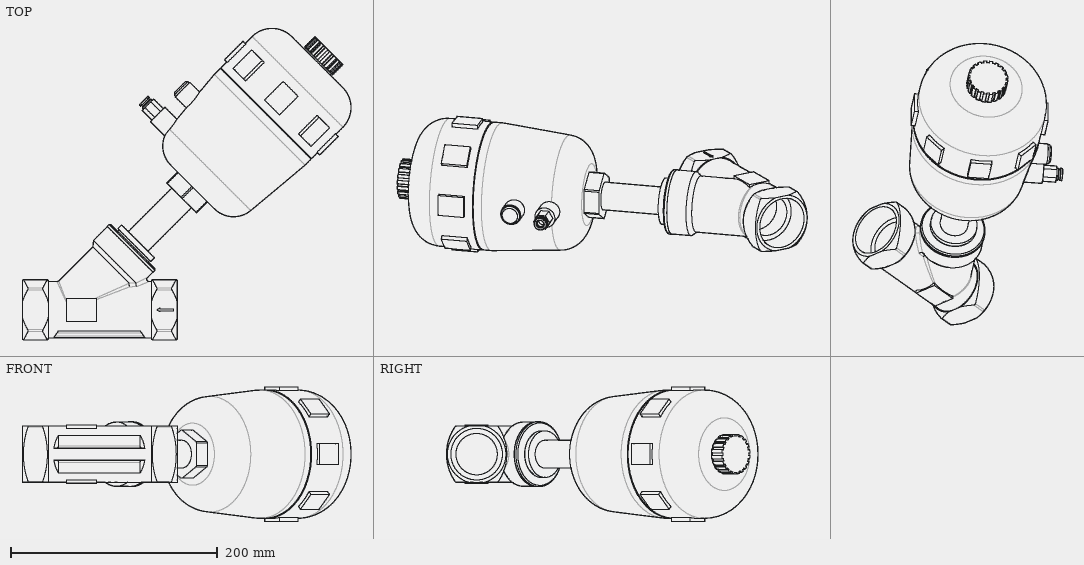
import cadquery as cq
import math


body_length = 150.0
pipe_diameter = 54.7
end_length = 25.0
end_half_width = 29.3
end_flat_half_width = 20.5
end_corner_round = 2.2
end_face_radius = 28.3
socket_diameter = 50.0
socket_depth = 24.2
port_diameter = 40.0
port_depth = 19.0

label_length = 29.3
label_width = 22.3
label_start = 42.5
label_height = 1.0

arrow_tip = 130.0
arrow_length = 16.0
arrow_shaft_width = 2.0
arrow_head_width = 3.8
arrow_head_length = 3.2
arrow_depth = 0.3

pocket_floor = 20.5
pocket_floor_length = 79.0
pocket_mouth_length = 88.8
pocket_middle = 74.5
pocket_edge_round = 1.3
rib_half_width = 6.0
rib_round = 2.0

branch_angle = 45.0
branch_x = 45.8
branch_blend = 2.2
collar_diameter = 62.5
collar_cone_start = 59.0
collar_start = 63.5
collar_top = 82.7

cover_diameter = 63.0
cover_top = 86.5
cover_bevel = 1.3
neck_diameter = 42.0
flange_start = 88.5
flange_diameter = 45.2
flange_top = 93.5
tube_diameter = 27.0
nut_start = 153.0
nut_across_flats = 41.0
nut_edge_bevel = 1.0

actuator_base = 168.0
base_flat_diameter = 60.0
base_round = 26.0
actuator_diameter = 124.5
cone_top = 260.0
seam_height = 268.2
seam_width = 0.5
seam_depth = 0.5
dome_start = 311.8
dome_round = 27.0

rib_pad_count = 8
rib_pad_start = 276.8
rib_pad_length = 25.5
rib_pad_width = 20.5
rib_pad_reach = 65.2

knob_neck_diameter = 35.0
knob_neck_length = 1.5
knob_diameter = 38.5
knob_length = 14.3
knob_groove_count = 20
knob_groove_width = 2.5
knob_groove_depth = 1.5

boss_diameter = 20.0
boss_end = 73.5
fitting_boss_height = 193.8
plug_boss_height = 227.8
plug_diameter = 18.5
plug_length = 3.5
plug_bevel = 1.5

fitting_hex_corners = 16.0
fitting_hex_length = 13.5
fitting_neck_diameter = 9.2
fitting_neck_length = 3.8
fitting_collar_diameter = 12.0
fitting_collar_length = 2.2
fitting_collar_bevel = 0.8
release_ring_length = 2.0
fitting_mouth_diameter = 8.0
fitting_mouth_depth = 2.0
fitting_bore_diameter = 6.0
fitting_bore_depth = 8.0

pipe_radius = pipe_diameter / 2
actuator_radius = actuator_diameter / 2
dome_top = dome_start + dome_round
tilt = math.radians(branch_angle)
inclined_plane = cq.Plane(
    origin=(branch_x, 0, 0),
    xDir=(-math.sin(tilt), math.cos(tilt), 0),
    normal=(math.cos(tilt), math.sin(tilt), 0),
)


def rod(diameter, start, end):
    """Upright cylinder on the Z axis."""
    return cq.Workplane("XY").workplane(offset=start).circle(diameter / 2).extrude(end - start)


def pipe_rod(diameter, start, end):
    """Cylinder on the pipe axis, along X."""
    return cq.Workplane("YZ").workplane(offset=start).circle(diameter / 2).extrude(end - start)


def tilted(upright):
    """Move an upright shape onto the inclined axis."""
    return cq.Workplane(upright.val().moved(cq.Location(inclined_plane)))


def wrench_end(start):
    """Pipe end with two flats, two rounded sides and bevelled corners."""
    end = start + end_length
    block = (
        cq.Workplane("YZ").workplane(offset=start)
        .moveTo(-end_flat_half_width, pipe_radius)
        .lineTo(end_flat_half_width, pipe_radius)
        .threePointArc((end_half_width, 0), (end_flat_half_width, -pipe_radius))
        .lineTo(-end_flat_half_width, -pipe_radius)
        .threePointArc((-end_half_width, 0), (-end_flat_half_width, pipe_radius))
        .close().extrude(end_length)
        .edges("|X").fillet(end_corner_round)
    )
    bevel_peak = end_length / 2
    bevel_envelope = (
        cq.Workplane("XY")
        .polyline([
            (start, 0),
            (start, end_face_radius),
            (start + bevel_peak, end_face_radius + bevel_peak),
            (end, end_face_radius),
            (end, 0),
        ])
        .close().revolve(360, (0, 0, 0), (1, 0, 0))
    )
    return block.intersect(bevel_envelope)


def branch_tube():
    return tilted(rod(pipe_diameter, 0, collar_start))


def collar():
    """Thickened rim of the branch, with a cone below it."""
    rim_radius = collar_diameter / 2
    return tilted(
        cq.Workplane("XZ")
        .polyline([
            (0, collar_cone_start),
            (pipe_radius, collar_cone_start),
            (rim_radius, collar_start),
            (rim_radius, collar_top),
            (0, collar_top),
        ])
        .close().revolve(360, (0, 0, 0), (0, 1, 0))
    )


def blended_casting():
    """Pipe, branch and collar, with a rounding along the curved seam between them."""
    joined = pipe_rod(pipe_diameter, 0, body_length).union(branch_tube()).union(collar())
    seam = joined.edges("not(%LINE or %CIRCLE)").vals()
    return cq.Workplane(joined.val().fillet(branch_blend, seam))


def label_pads():
    """Flat pads on the top and bottom of the pipe."""
    return cq.Workplane("XY").box(
        label_length, label_width, pipe_diameter + 2 * label_height
    ).translate((label_start + label_length / 2, 0, 0))


def pocket(side):
    """Pocket with sloping ends, above (side = 1) or below (side = -1) the central rib."""
    outer = pipe_radius + 3.2
    end_slope = (pocket_mouth_length - pocket_floor_length) / 2 / (pipe_radius - pocket_floor)
    half_floor = pocket_floor_length / 2
    half_outer = half_floor + end_slope * (outer - pocket_floor)
    length_shape = (
        cq.Workplane("XY").workplane(offset=-outer)
        .polyline([
            (pocket_middle - half_floor, -pocket_floor),
            (pocket_middle + half_floor, -pocket_floor),
            (pocket_middle + half_outer, -outer),
            (pocket_middle - half_outer, -outer),
        ])
        .close().extrude(2 * outer)
    )
    edge = math.sqrt(pipe_radius**2 - pocket_floor**2)
    surface_y = -pocket_floor + pocket_edge_round * edge / pipe_radius
    surface_z = edge + pocket_edge_round * pocket_floor / pipe_radius
    rib_top = pipe_radius - rib_round
    cross_shape = (
        cq.Workplane("YZ")
        .moveTo(-outer, side * outer)
        .lineTo(surface_y, side * outer)
        .lineTo(surface_y, side * surface_z)
        .tangentArcPoint((-pocket_floor, side * (edge - pocket_edge_round)), relative=False)
        .lineTo(-pocket_floor, side * (rib_half_width + rib_round))
        .tangentArcPoint((-pocket_floor - rib_round, side * rib_half_width), relative=False)
        .lineTo(-rib_top, side * rib_half_width)
        .tangentArcPoint((-pipe_radius, side * (rib_half_width - rib_round)), relative=False)
        .lineTo(-outer, side * (rib_half_width - rib_round))
        .close().extrude(body_length)
    )
    return length_shape.intersect(cross_shape)


def flow_arrow():
    """Shallow arrow in the top flat of the +X wrench end, pointing to -X."""
    neck = arrow_tip + arrow_head_length
    tail = arrow_tip + arrow_length
    shaft = arrow_shaft_width / 2
    head = arrow_head_width / 2
    return (
        cq.Workplane("XY").workplane(offset=pipe_radius - arrow_depth)
        .polyline([
            (arrow_tip, 0), (neck, head), (neck, shaft), (tail, shaft),
            (tail, -shaft), (neck, -shaft), (neck, -head),
        ])
        .close().extrude(2 * arrow_depth)
    )


def make_valve_body():
    body = blended_casting().union(label_pads())
    for start in (0, body_length - end_length):
        body = body.union(wrench_end(start))
    for side in (1, -1):
        body = body.cut(pocket(side))
    port_end = socket_depth + port_depth
    for socket_start, port_start in (
        (0, socket_depth),
        (body_length - socket_depth, body_length - port_end),
    ):
        body = body.cut(pipe_rod(socket_diameter, socket_start, socket_start + socket_depth))
        body = body.cut(pipe_rod(port_diameter, port_start, port_start + port_depth))
    return body.cut(flow_arrow())


def make_bonnet():
    """Cover, flange, tube and hexagon between the valve body and the actuator."""
    cover = rod(cover_diameter, collar_top, cover_top).faces(">Z").edges().chamfer(cover_bevel)
    neck = rod(neck_diameter, cover_top, flange_start)
    flange = rod(flange_diameter, flange_start, flange_top)
    tube = rod(tube_diameter, flange_top, nut_start)
    nut = (
        cq.Workplane("XY").workplane(offset=nut_start)
        .polygon(6, nut_across_flats, circumscribed=True).extrude(actuator_base - nut_start)
        .edges("|Z").chamfer(nut_edge_bevel)
    )
    return tilted(cover.union(neck).union(flange).union(tube).union(nut))


def actuator_shell():
    """Turned housing: rounded base, slight cone, seam groove, straight cap and domed top."""
    flat_radius = base_flat_diameter / 2
    centre_height = actuator_base + base_round
    run = cone_top - centre_height
    rise = actuator_radius - flat_radius
    cone_angle = math.acos(base_round / math.hypot(run, rise)) - math.atan2(run, rise)
    mid_angle = (math.pi / 2 - cone_angle) / 2

    def on_base_round(angle):
        return (
            flat_radius + base_round * math.sin(angle),
            centre_height - base_round * math.cos(angle),
        )

    groove_radius = actuator_radius - seam_depth
    dome_flat_radius = actuator_radius - dome_round
    dome_mid = (
        dome_flat_radius + dome_round * math.sqrt(0.5),
        dome_start + dome_round * math.sqrt(0.5),
    )
    return (
        cq.Workplane("XZ")
        .moveTo(0, actuator_base)
        .lineTo(flat_radius, actuator_base)
        .threePointArc(on_base_round(mid_angle), on_base_round(2 * mid_angle))
        .lineTo(actuator_radius, cone_top)
        .lineTo(actuator_radius, seam_height)
        .lineTo(groove_radius, seam_height)
        .lineTo(groove_radius, seam_height + seam_width)
        .lineTo(actuator_radius, seam_height + seam_width)
        .lineTo(actuator_radius, dome_start)
        .threePointArc(dome_mid, (dome_flat_radius, dome_top))
        .lineTo(0, dome_top)
        .close().revolve(360, (0, 0, 0), (0, 1, 0))
    )


def rib_pad(index):
    """One of the flat rectangular pads around the cap."""
    root = actuator_radius - 3.2
    pad = cq.Workplane("XY").box(
        rib_pad_reach - root, rib_pad_width, rib_pad_length, centered=(False, True, False)
    ).translate((root, 0, rib_pad_start))
    return pad.rotate((0, 0, 0), (0, 0, 1), index * 360 / rib_pad_count)


def indicator_knob():
    """Knurled knob on a short neck on top of the dome."""
    knob_start = dome_top + knob_neck_length
    knob = rod(knob_diameter, knob_start, knob_start + knob_length)
    grooves = (
        cq.Workplane("XY").workplane(offset=knob_start)
        .polarArray(knob_diameter / 2, 0, 360, knob_groove_count)
        .rect(2 * knob_groove_depth, knob_groove_width).extrude(knob_length)
    )
    return rod(knob_neck_diameter, dome_top, knob_start).union(knob.cut(grooves))


def air_plug():
    """Closed air port: upright plug above the end face of its boss."""
    return rod(plug_diameter, boss_end, boss_end + plug_length).faces(">Z").edges().chamfer(plug_bevel)


def air_fitting():
    """Push-in fitting above the end face of its boss: hexagon, collar, release ring and bore."""
    hex_top = boss_end + fitting_hex_length
    collar_end = hex_top + fitting_collar_length
    ring_start = hex_top + fitting_neck_length
    top = ring_start + release_ring_length
    hexagon = (
        cq.Workplane("XY").workplane(offset=boss_end)
        .polygon(6, fitting_hex_corners).extrude(fitting_hex_length)
    )
    fitting_collar = (
        rod(fitting_collar_diameter, hex_top, collar_end)
        .faces(">Z").edges().chamfer(fitting_collar_bevel)
    )
    neck = rod(fitting_neck_diameter, hex_top, ring_start)
    ring = rod(fitting_collar_diameter, ring_start, top)
    mouth = rod(fitting_mouth_diameter, top - fitting_mouth_depth, top)
    bore = rod(fitting_bore_diameter, top - fitting_bore_depth, top)
    return hexagon.union(fitting_collar).union(neck).union(ring).cut(mouth).cut(bore)


def air_port(end_piece, height):
    """Boss with its end piece, turned to point sideways out of the shell at the given height."""
    port = rod(boss_diameter, 0, boss_end).union(end_piece)
    return port.rotate((0, 0, 0), (0, 1, 0), 90).translate((0, 0, height))


def make_actuator():
    actuator = actuator_shell()
    for index in range(rib_pad_count):
        actuator = actuator.union(rib_pad(index))
    actuator = actuator.union(air_port(air_fitting(), fitting_boss_height))
    actuator = actuator.union(air_port(air_plug(), plug_boss_height))
    return tilted(actuator.union(indicator_knob()))


valve_body = make_valve_body()
bonnet = make_bonnet()
actuator = make_actuator()
result = cq.Compound.makeCompound([valve_body.val(), bonnet.val(), actuator.val()])